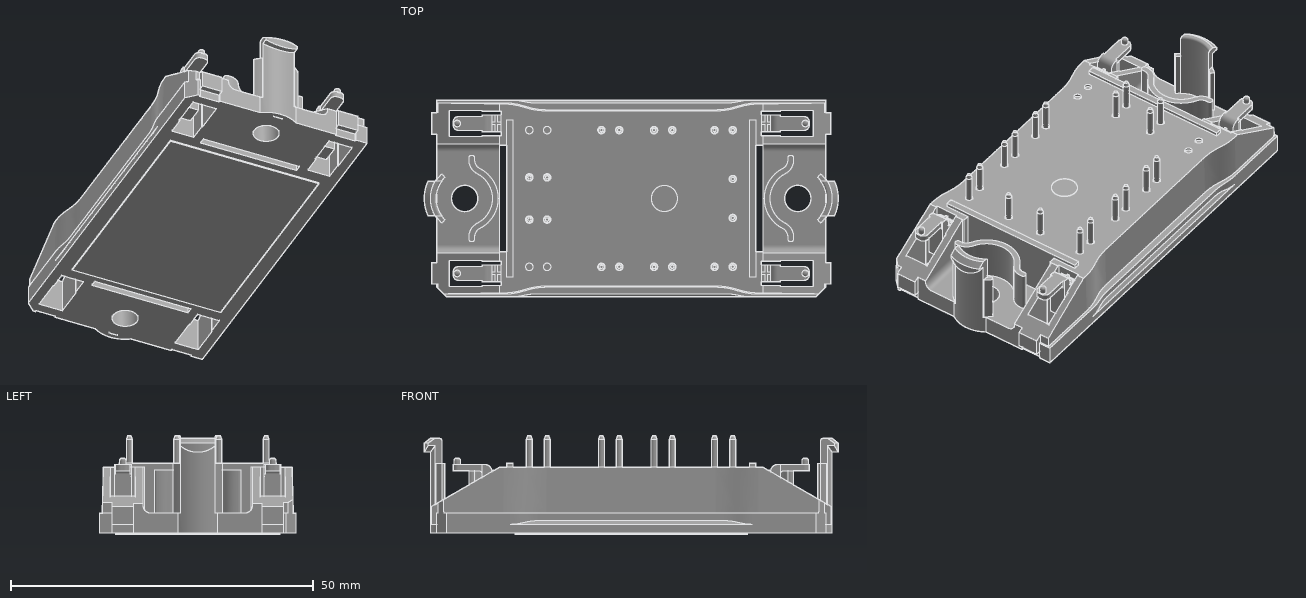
import cadquery as cq
import math

pad_bottom = 0.0
base_bottom = 0.2
lower_band_top = 1.65
bevel_top = 2.25
floor_z = 3.5
body_top = 11.1
rail_top = 11.75
pin_shoulder = 15.65
pin_top = 16.3
root_depth = 0.35

overall_length = 68.4
base_width = 32.5
half_length = 32.15
base_half_width = base_width / 2
waist_half_width = 15.7
upper_half_width = 15.8
upper_waist_half_width = 14.65
upper_draft = 1.5
base_curve_start, base_curve_end = 20.0, 15.4
upper_curve_start, upper_curve_end = 21.1, 13.95
corner_chamfer = 1.65
pad_length, pad_width = 38.3, 27.1

rail_x, rail_width, rail_length = 20.05, 1.1, 26.0

slope_top_x = 21.75
slope_angle = 30.0
pocket_half_width = 9.0
pocket_fillet = 1.3
slot_inner_x = rail_x + rail_width / 2
slot_half_width = 8.75
window_y = 12.4
window_width = 4.25
window_outer_x, window_inner_x = 30.0, 21.5
guide_x, guide_height = 24.6, 0.15
ear_width = 3.55
ear_x = 33.0
ear_blank_top = 6.15
shoulder_x = 31.9

screw_x = -27.5
screw_diameter = 4.3
wall_radius = 5.05
wall_thickness = 0.95
wall_end_x = -26.3
wall_return_radius = 2.05
wall_end_y = 7.1
wall_top = 10.6
wall_end_round = 0.4
latch_inner, latch_outer = 4.7, 5.7
latch_half_width = 2.9
latch_top = 15.9
latch_top_round = 0.4
hook_radius = overall_length / 2 + screw_x
hook_bottom, hook_edge = 13.55, 15.05
hook_arch_radius = 4.4
wing_inner, wing_outer = 4.8, 5.55
wing_top = 11.7
wing_angle = 47.0

finger_width = 2.3
finger_tip_x, finger_back_x = -29.4, -23.0
finger_bottom, finger_top = 10.45, 11.55
finger_tip_round = 0.9
bend_inner_radius, bend_outer_radius = 0.55, 1.2
leg_front_x = -24.6
leg_width = 2.8
leg_bottom = floor_z
saddle_top = 9.6
rib_thickness = 0.4
rib_top = 10.0
cross_rib_x = -22.3
button_x = -28.7
button_diameter, button_top = 1.1, 12.6
button_round = 0.4

pin_diameter, pin_chamfer = 1.0, 0.24
socket_diameter, socket_depth = 1.2, 0.5
mark_x, mark_diameter, mark_depth = 5.5, 4.3, 0.1
outer_pin_y = 11.3
empty_sockets = [(x, y) for x in (-16.8, -13.9) for y in (-outer_pin_y, outer_pin_y)]
pin_points = [(x, y) for x in (-4.9, -2.0, 3.75, 6.8, 13.75, 16.75) for y in (-outer_pin_y, outer_pin_y)]
pin_points += [(x, y) for x in (-16.8, -13.9) for y in (-3.5, 3.5)]
pin_points += [(16.75, y) for y in (-3.2, 3.2)]


def box(x_range, y_range, z_range):
    """Box between the given pairs of limits."""
    size = [high - low for low, high in (x_range, y_range, z_range)]
    corner = (x_range[0], y_range[0], z_range[0])
    return cq.Workplane("XY").box(*size, centered=False).translate(corner)


def both_ends(shape):
    """The left-end shape together with its mirror image at the right end."""
    return shape.union(shape.mirror("YZ"))


def waisted_outline(z, end_y, waist_y, curve_start, curve_end):
    """Closed outline whose long sides step in to a waist by S-curves."""
    mid_x = (curve_start + curve_end) / 2
    mid_y = (end_y + waist_y) / 2
    end_x = half_length + corner_chamfer
    return (
        cq.Workplane("XY", origin=(0, 0, z))
        .moveTo(-end_x, -end_y)
        .lineTo(-curve_start, -end_y)
        .tangentArcPoint((-mid_x, -mid_y), relative=False)
        .tangentArcPoint((-curve_end, -waist_y), relative=False)
        .lineTo(curve_end, -waist_y)
        .tangentArcPoint((mid_x, -mid_y), relative=False)
        .tangentArcPoint((curve_start, -end_y), relative=False)
        .lineTo(end_x, -end_y)
        .lineTo(end_x, end_y)
        .lineTo(curve_start, end_y)
        .tangentArcPoint((mid_x, mid_y), relative=False)
        .tangentArcPoint((curve_end, waist_y), relative=False)
        .lineTo(-curve_end, waist_y)
        .tangentArcPoint((-mid_x, mid_y), relative=False)
        .tangentArcPoint((-curve_start, end_y), relative=False)
        .lineTo(-end_x, end_y)
        .close()
    )


def make_shell():
    """Stepped base and drafted upper body, before the ends are hollowed."""
    x_limits = (-half_length, half_length)
    y_limits = (-base_half_width, base_half_width)
    band = box(x_limits, y_limits, (base_bottom, lower_band_top))
    waist = waisted_outline(
        lower_band_top, base_half_width, waist_half_width, base_curve_start, base_curve_end
    ).extrude(floor_z - lower_band_top)
    bevel = (
        cq.Workplane("YZ", origin=(-base_curve_start, 0, 0))
        .polyline([
            (-base_half_width, lower_band_top),
            (base_half_width, lower_band_top),
            (waist_half_width, bevel_top),
            (-waist_half_width, bevel_top),
        ])
        .close()
        .extrude(2 * base_curve_start)
    )
    upper = waisted_outline(
        floor_z, upper_half_width, upper_waist_half_width, upper_curve_start, upper_curve_end
    ).extrude(body_top - floor_z, taper=upper_draft)
    shell = band.union(waist).union(bevel).union(upper)
    shell = shell.intersect(box(x_limits, y_limits, (pad_bottom, body_top)))

    pad = cq.Workplane("XY").box(pad_length, pad_width, lower_band_top, centered=(True, True, False))
    corner = (
        cq.Workplane("XY")
        .polyline([
            (-half_length, -base_half_width),
            (-half_length + corner_chamfer, -base_half_width),
            (-half_length, -base_half_width + corner_chamfer),
        ])
        .close()
        .extrude(body_top)
    )
    return shell.union(pad).cut(both_ends(corner))


def make_ears():
    """Locating ears on the left end face, in line with the windows."""
    ears = cq.Workplane("XY")
    for y in (-window_y, window_y):
        y_range = (y - ear_width / 2, y + ear_width / 2)
        ears = ears.union(box((-ear_x, -shoulder_x), y_range, (lower_band_top, ear_blank_top)))
    return ears


def make_end_cuts():
    """Slope, centre pocket, through slot, windows, corner and ear steps, and screw hole of the left end."""
    run = 1.5 * (ear_x - slope_top_x)
    drop = run * math.tan(math.radians(slope_angle))
    slope = (
        cq.Workplane("XZ", origin=(0, base_half_width, 0))
        .polyline([
            (-slope_top_x, body_top),
            (-slope_top_x - run, body_top - drop),
            (-slope_top_x - run, body_top),
        ])
        .close()
        .extrude(2 * base_half_width)
    )
    pocket = (
        box((-ear_x, -slope_top_x), (-pocket_half_width, pocket_half_width), (floor_z, body_top))
        .edges("|X and <Z")
        .fillet(pocket_fillet)
    )
    slot = box((-slope_top_x, -slot_inner_x), (-slot_half_width, slot_half_width), (pad_bottom, body_top))
    cuts = slope.union(pocket).union(slot)
    for y in (-window_y, window_y):
        wide = (y - window_width / 2, y + window_width / 2)
        narrow = (wide[0] + guide_height, wide[1] - guide_height)
        cuts = cuts.union(box((-window_outer_x, -guide_x), wide, (pad_bottom, body_top)))
        cuts = cuts.union(box((-guide_x, -window_inner_x), narrow, (pad_bottom, body_top)))
        below_ear = (y - ear_width / 2, y + ear_width / 2)
        cuts = cuts.union(box((-ear_x, -shoulder_x), below_ear, (pad_bottom, lower_band_top)))
    shoulder_y = window_y + ear_width / 2
    for y_range in ((-base_half_width, -shoulder_y), (shoulder_y, base_half_width)):
        cuts = cuts.union(box((-ear_x, -shoulder_x), y_range, (floor_z, body_top)))
    hole = cq.Workplane("XY").center(screw_x, 0).circle(screw_diameter / 2).extrude(floor_z)
    return cuts.union(hole)


def curved_wall():
    """S-ended wall around the inner side of the screw hole."""
    return_x = wall_end_x + wall_return_radius
    turn = math.acos((return_x - screw_x) / (wall_radius + wall_return_radius))
    return_y = (wall_radius + wall_return_radius) * math.sin(turn)
    join_x = screw_x + wall_radius * math.cos(turn)
    join_y = wall_radius * math.sin(turn)
    arc_x = return_x - wall_return_radius * math.cos(turn / 2)
    arc_y = return_y - wall_return_radius * math.sin(turn / 2)
    path = (
        cq.Workplane("XY", origin=(0, 0, floor_z))
        .moveTo(wall_end_x, -wall_end_y)
        .lineTo(wall_end_x, -return_y)
        .threePointArc((arc_x, -arc_y), (join_x, -join_y))
        .threePointArc((screw_x + wall_radius, 0), (join_x, join_y))
        .threePointArc((arc_x, arc_y), (wall_end_x, return_y))
        .lineTo(wall_end_x, wall_end_y)
    )
    section_plane = cq.Workplane("XZ", origin=(wall_end_x, -wall_end_y, floor_z))
    section = section_plane.rect(wall_thickness, 2 * (wall_top - floor_z))
    wall = section.sweep(path)
    trim_y = (-pocket_half_width, pocket_half_width)
    trim = box((-half_length, -slope_top_x), trim_y, (lower_band_top, wall_top))
    wall = wall.intersect(trim)
    for end in ("<Y", ">Y"):
        wall = wall.faces(end).edges("|Z").fillet(wall_end_round)
    return wall


def revolved_about_screw(outline):
    """Full revolution of a (radius, z) workplane outline about the screw axis."""
    return outline.close().revolve(360, (0, 0, 0), (0, 1, 0)).translate((screw_x, 0, 0))


def latch():
    """Upright latch on the outer side of the screw hole, with hook and side wings."""
    post = revolved_about_screw(
        cq.Workplane("XZ")
        .moveTo(latch_inner, base_bottom)
        .lineTo(latch_outer, base_bottom)
        .lineTo(latch_outer, latch_top)
        .lineTo(latch_inner + latch_top_round, latch_top)
        .radiusArc((latch_inner, latch_top - latch_top_round), -latch_top_round)
    )
    hook = revolved_about_screw(
        cq.Workplane("XZ").polyline([
            (latch_inner + latch_top_round, hook_bottom),
            (hook_radius, hook_bottom),
            (hook_radius, hook_edge),
            (latch_outer, latch_top),
            (latch_inner + latch_top_round, latch_top),
        ])
    )
    hook_arch = (
        cq.Workplane("YZ", origin=(screw_x - 2 * hook_radius, 0, 0))
        .center(0, hook_bottom + hook_arch_radius)
        .circle(hook_arch_radius)
        .extrude(2 * hook_radius)
    )
    outer_side = box(
        (screw_x - 2 * hook_radius, screw_x), (-latch_half_width, latch_half_width), (base_bottom, latch_top)
    )
    foot_x = (screw_x - latch_outer, -shoulder_x)
    foot = (
        cq.Workplane("XY", origin=(screw_x, 0, base_bottom))
        .circle(latch_outer)
        .circle(latch_inner)
        .extrude(floor_z - base_bottom)
        .intersect(box(foot_x, (-latch_outer, latch_outer), (base_bottom, floor_z)))
    )
    post = post.union(hook.intersect(hook_arch)).intersect(outer_side).union(foot)

    reach = 2 * wing_outer
    spread = reach * math.tan(math.radians(wing_angle))
    wing_bottom = floor_z - root_depth
    wings = (
        cq.Workplane("XY", origin=(screw_x, 0, wing_bottom))
        .circle(wing_outer)
        .circle(wing_inner)
        .extrude(wing_top - wing_bottom)
    )
    sector = (
        cq.Workplane("XY", origin=(screw_x, 0, base_bottom))
        .polyline([(0, 0), (-reach, spread), (-reach, -spread)])
        .close()
        .extrude(wing_top)
    )
    return post.union(wings.intersect(sector))


def bent_strap(width):
    """Horizontal arm turning down into a leg, centred on y = 0."""
    return (
        cq.Workplane("XZ")
        .moveTo(finger_tip_x, finger_bottom)
        .lineTo(leg_front_x - bend_inner_radius, finger_bottom)
        .radiusArc((leg_front_x, finger_bottom - bend_inner_radius), bend_inner_radius)
        .lineTo(leg_front_x, leg_bottom)
        .lineTo(finger_back_x, leg_bottom)
        .lineTo(finger_back_x, finger_top - bend_outer_radius)
        .radiusArc((finger_back_x - bend_outer_radius, finger_top), -bend_outer_radius)
        .lineTo(finger_tip_x, finger_top)
        .close()
        .extrude(width / 2, both=True)
    )


def finger(y):
    """Spring finger in the window at the given y, tied to the body by a saddle."""
    strap = bent_strap(finger_width).edges("|Z and <X").fillet(finger_tip_round)
    leg_zone = box((leg_front_x, finger_back_x), (-leg_width, leg_width), (leg_bottom, finger_top))
    leg = bent_strap(leg_width).intersect(leg_zone)

    wall_x = -window_inner_x
    saddle = box((leg_front_x, wall_x), (-leg_width / 2, leg_width / 2), (leg_bottom, saddle_top))
    rib = box((leg_front_x, wall_x), (-rib_thickness / 2, rib_thickness / 2), (leg_bottom, rib_top))
    cross_rib = box(
        (cross_rib_x - rib_thickness / 2, cross_rib_x + rib_thickness / 2),
        (-leg_width / 2, leg_width / 2),
        (leg_bottom, rib_top),
    )
    button = (
        cq.Workplane("XY", origin=(button_x, 0, finger_bottom))
        .circle(button_diameter / 2)
        .extrude(button_top - finger_bottom)
        .faces(">Z")
        .edges()
        .fillet(button_round)
    )
    for piece in (leg, saddle, rib, cross_rib, button):
        strap = strap.union(piece)
    return strap.translate((0, y, 0))


def make_rails():
    """Raised rails across the two ends of the top face."""
    return (
        cq.Workplane("XY", origin=(0, 0, body_top - root_depth))
        .pushPoints([(-rail_x, 0), (rail_x, 0)])
        .rect(rail_width, rail_length)
        .extrude(rail_top - body_top + root_depth)
    )


def make_top_recesses():
    """Pin sockets, empty sockets and the shallow round mark."""
    sockets = (
        cq.Workplane("XY", origin=(0, 0, body_top - socket_depth))
        .pushPoints(pin_points + empty_sockets)
        .circle(socket_diameter / 2)
        .extrude(socket_depth)
    )
    mark = (
        cq.Workplane("XY", origin=(mark_x, 0, body_top - mark_depth))
        .circle(mark_diameter / 2)
        .extrude(mark_depth)
    )
    return sockets.union(mark)


def make_pins():
    """Contact pins with tapered tips, rooted below the socket floors."""
    root = body_top - 2 * socket_depth
    return (
        cq.Workplane("XY", origin=(0, 0, root))
        .pushPoints(pin_points)
        .circle(pin_diameter / 2)
        .extrude(pin_top - root)
        .faces(">Z")
        .chamfer(pin_top - pin_shoulder, pin_chamfer)
    )


result = make_shell().union(both_ends(make_ears())).cut(both_ends(make_end_cuts()))
for detail in (curved_wall(), latch(), finger(window_y), finger(-window_y)):
    result = result.union(both_ends(detail))
result = result.union(make_rails()).cut(make_top_recesses()).union(make_pins())